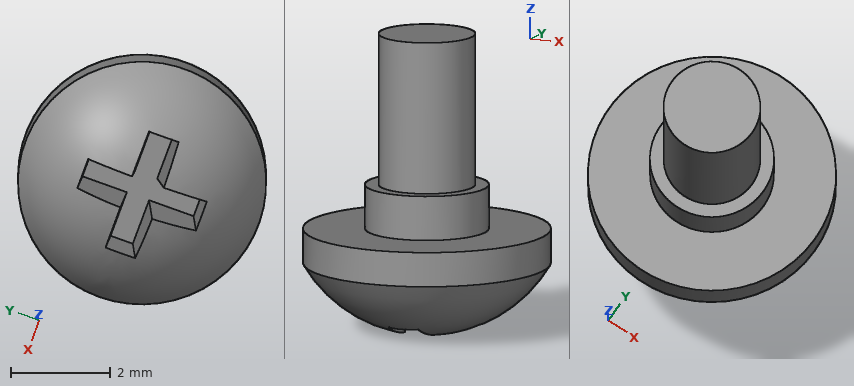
import cadquery as cq

head_diameter = 5.0
flange_height = 0.7
dome_height = 1.44
collar_diameter = head_diameter / 2
collar_height = 0.9
shank_diameter = 1.95
shank_height = 3.1

recess_span = 2.6
recess_arm_width = 0.69
recess_depth = 1.22
recess_draft = 5.0

flange_top = flange_height
collar_top = flange_top + collar_height
shank_top = collar_top + shank_height


def screw_body():
    """Revolve the domed head, collar and shank about the Z axis."""
    head_radius = head_diameter / 2
    collar_radius = collar_diameter / 2
    shank_radius = shank_diameter / 2
    dome_radius = (head_radius**2 + dome_height**2) / (2 * dome_height)
    middle_x = head_radius / 2
    middle_z = dome_radius - dome_height - (dome_radius**2 - middle_x**2) ** 0.5
    profile = (
        cq.Workplane("XZ")
        .moveTo(0, -dome_height)
        .threePointArc((middle_x, middle_z), (head_radius, 0))
        .lineTo(head_radius, flange_top)
        .lineTo(collar_radius, flange_top)
        .lineTo(collar_radius, collar_top)
        .lineTo(shank_radius, collar_top)
        .lineTo(shank_radius, shank_top)
        .lineTo(0, shank_top)
        .close()
    )
    return profile.revolve(360, (0, 0, 0), (0, 1, 0))


def recess_arm(length_x, length_y):
    """Make one drafted bar of the cross, narrowing upward into the head."""
    return (
        cq.Workplane("XY", origin=(0, 0, -dome_height))
        .rect(length_x, length_y)
        .extrude(recess_depth, taper=recess_draft)
    )


cross_recess = recess_arm(recess_span, recess_arm_width).union(
    recess_arm(recess_arm_width, recess_span)
)

result = screw_body().cut(cross_recess)